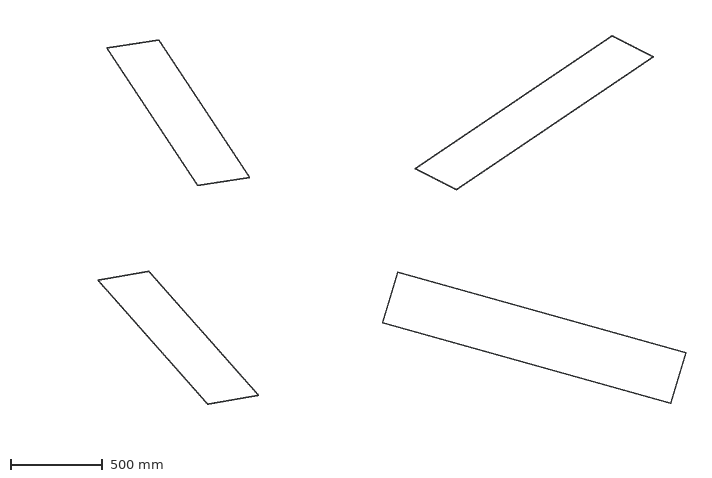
import cadquery as cq

length = 1634.0
width = 297.0
thickness = 3.0

result = cq.Workplane("XY").box(length, width, thickness)